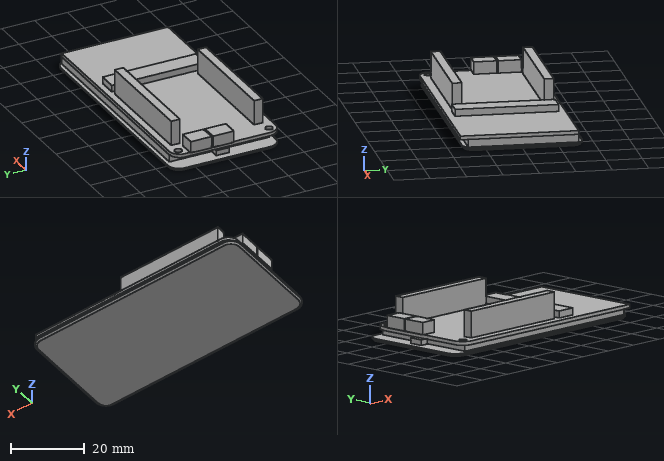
import cadquery as cq

glass_top = 0.8
panel_top = 3.0
board_top = 4.0
overall_height = 11.4

glass_length = 69.1
glass_width = 33.0
glass_front = 0.8
glass_corner_radius = 3.45
cove_radius = 0.55

board_left = 1.9
board_right = 67.95
board_width = 32.5
board_corner_radius = 3.25
hole_diameter = 2.1
hole_inset = 2.4

panel_left = 4.9
panel_width = 30.4
panel_front = board_width - panel_width

tab_left = 2.2
tab_length = 2.35
tab_front = 15.75
tab_width = 3.9
tab_height = 1.5

header_left = 7.8
header_length = 33.0
header_width = 2.6
header_front = 2.55
header_spacing = 25.3
header_height = overall_height - board_top

connector_left = 1.5
connector_length = 4.7
connector_width = 6.35
connector_front = 14.65
connector_spacing = 6.8
connector_height = 3.45

strip_left = 42.3
strip_length = 5.4
strip_front = 2.15
strip_width = 28.45
strip_height = 1.9


def block(left, front, bottom, length, width, height):
    """Box placed by its left, front, bottom corner."""
    return cq.Workplane("XY").box(length, width, height, centered=False).translate((left, front, bottom))


def make_glass():
    """Rounded plate with a concave cove around its lower edge."""
    plate = block(0, glass_front, 0, glass_length, glass_width, glass_top)
    plate = plate.edges("|Z").fillet(glass_corner_radius)
    lower_outline = plate.faces("<Z").wires().val()
    cove_cutter = (
        cq.Workplane("YZ", origin=(glass_length / 2, glass_front, 0))
        .circle(cove_radius)
        .sweep(cq.Workplane(obj=lower_outline))
    )
    return plate.cut(cove_cutter)


def make_display():
    """Glass carrying the display panel and the small block beside it."""
    panel = block(
        panel_left, panel_front, glass_top,
        board_right - panel_left, panel_width, panel_top - glass_top,
    )
    tab = block(tab_left, tab_front, glass_top, tab_length, tab_width, tab_height)
    return make_glass().union(panel).union(tab)


def make_bare_board():
    """Board with rounded left corners and a mounting hole near each of them."""
    board = block(
        board_left, 0, panel_top,
        board_right - board_left, board_width, board_top - panel_top,
    )
    board = board.edges("|Z and <X").fillet(board_corner_radius)
    hole_x = board_left + hole_inset
    hole_centers = [(hole_x, hole_inset), (hole_x, board_width - hole_inset)]
    holes = (
        cq.Workplane("XY", origin=(0, 0, panel_top))
        .pushPoints(hole_centers)
        .circle(hole_diameter / 2)
        .extrude(board_top - panel_top)
    )
    return board.cut(holes)


def make_circuit_board():
    """Board with its headers, connectors and strip."""
    board = make_bare_board()
    for index in range(2):
        header = block(
            header_left, header_front + index * header_spacing, board_top,
            header_length, header_width, header_height,
        )
        connector = block(
            connector_left, connector_front + index * connector_spacing, board_top,
            connector_length, connector_width, connector_height,
        )
        board = board.union(header).union(connector)
    strip = block(strip_left, strip_front, board_top, strip_length, strip_width, strip_height)
    return board.union(strip)


display = make_display()
circuit_board = make_circuit_board()

result = cq.Compound.makeCompound([display.solids().val(), circuit_board.solids().val()])